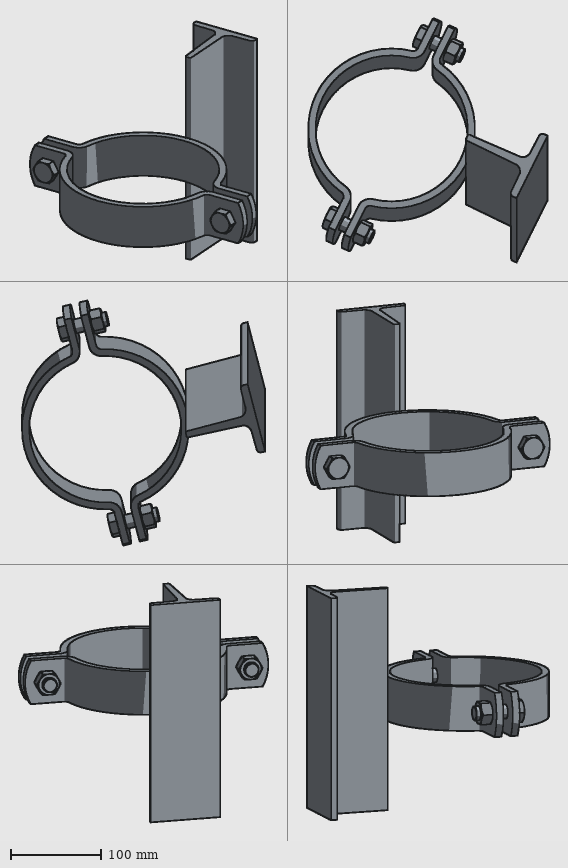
import cadquery as cq
import math

RAIL_LENGTH = 250.0
RAIL_HEIGHT = 80.0
RAIL_WIDTH = 80.0
RAIL_THICKNESS = 9.0
RAIL_TAPER = 0.02
RAIL_ROOT_RADIUS = 9.0
RAIL_TOE_RADIUS = 4.5
RAIL_TIP_RADIUS = 2.0
WELD_OVERLAP = 0.15

OVERALL_WIDTH = 280.0
RING_RADIUS = 92.5
BAND_THICKNESS = 8.0
BAND_WIDTH = 50.0
FLANGE_GAP = 11.0
BEND_INSIDE_RADIUS = 6.0
FLANGE_END_RADIUS = 50.0

BOLT_SPACING = 232.0
BOLT_DIAMETER = 16.0
BOLT_TIP_DIAMETER = 14.8
BOLT_PROTRUSION = 5.0
HEX_ACROSS_FLATS = 24.0
HEAD_HEIGHT = 10.0
NUT_HEIGHT = 13.0
HEX_BEVEL_ANGLE = 30.0

ring_inner_radius = RING_RADIUS - BAND_THICKNESS
half_gap = FLANGE_GAP / 2
flange_outer_y = half_gap + BAND_THICKNESS
half_width = OVERALL_WIDTH / 2
bend_outside_radius = BEND_INSIDE_RADIUS + BAND_THICKNESS


def polar(center, radius, angle):
    """Point at the given angle (radians) on a circle."""
    return (center[0] + radius * math.cos(angle), center[1] + radius * math.sin(angle))


def mirrored(point):
    return (-point[0], point[1])


def rail():
    """T-section with tapered flange and web; the web tip is sunk into the ring."""
    tip_y = RING_RADIUS - WELD_OVERLAP
    back_y = tip_y + RAIL_HEIGHT + WELD_OVERLAP
    half_flange = RAIL_WIDTH / 2

    toe_y = back_y - RAIL_THICKNESS + RAIL_TAPER * half_flange / 2
    web_taper = RAIL_TAPER * RAIL_HEIGHT / 2
    tip_x = RAIL_THICKNESS / 2 - web_taper
    root_x = RAIL_THICKNESS / 2 + web_taper
    root_y = toe_y - RAIL_TAPER * (half_flange - root_x)

    right_side = [(half_flange, back_y), (half_flange, toe_y), (root_x, root_y), (tip_x, tip_y)]
    left_side = [mirrored(point) for point in reversed(right_side)]
    body = (
        cq.Workplane("XY")
        .polyline(right_side + left_side)
        .close()
        .extrude(RAIL_LENGTH / 2, both=True)
    )

    corner_radii = [
        ((half_flange, toe_y), RAIL_TOE_RADIUS),
        ((root_x, root_y), RAIL_ROOT_RADIUS),
        ((tip_x, tip_y), RAIL_TIP_RADIUS),
    ]
    for corner, radius in corner_radii:
        for x, y in (corner, mirrored(corner)):
            body = body.edges(cq.NearestToPointSelector((x, y, 0))).fillet(radius)
    return body


def clamp_half():
    """Half ring on the +Y side with a bent-out bolting flange at each end."""
    bend_y = flange_outer_y + BEND_INSIDE_RADIUS
    bend_x = math.sqrt((RING_RADIUS + BEND_INSIDE_RADIUS) ** 2 - bend_y**2)
    bend = (bend_x, bend_y)
    ring_end_angle = math.atan2(bend_y, bend_x)
    bend_mid_angle = (ring_end_angle + math.pi + 3 * math.pi / 2) / 2

    inner_end = polar((0, 0), ring_inner_radius, ring_end_angle)
    outer_end = polar((0, 0), RING_RADIUS, ring_end_angle)
    inner_mid = polar(bend, bend_outside_radius, bend_mid_angle)
    outer_mid = polar(bend, BEND_INSIDE_RADIUS, bend_mid_angle)

    band = (
        cq.Workplane("XY")
        .moveTo(half_width, half_gap)
        .lineTo(bend_x, half_gap)
        .threePointArc(inner_mid, inner_end)
        .threePointArc((0, ring_inner_radius), mirrored(inner_end))
        .threePointArc(mirrored(inner_mid), (-bend_x, half_gap))
        .lineTo(-half_width, half_gap)
        .lineTo(-half_width, flange_outer_y)
        .lineTo(-bend_x, flange_outer_y)
        .threePointArc(mirrored(outer_mid), mirrored(outer_end))
        .threePointArc((0, RING_RADIUS), outer_end)
        .threePointArc(outer_mid, (bend_x, flange_outer_y))
        .lineTo(half_width, flange_outer_y)
        .close()
        .extrude(BAND_WIDTH / 2, both=True)
    )
    return band.intersect(flange_end_outline())


def flange_end_outline():
    """Strip with convex ends that trims the flanges to their rounded outline."""
    half_height = BAND_WIDTH / 2
    end_rise = FLANGE_END_RADIUS - math.sqrt(FLANGE_END_RADIUS**2 - half_height**2)
    corner_x = half_width - end_rise
    return (
        cq.Workplane("XZ")
        .moveTo(-corner_x, -half_height)
        .lineTo(corner_x, -half_height)
        .threePointArc((half_width, 0), (corner_x, half_height))
        .lineTo(-corner_x, half_height)
        .threePointArc((-half_width, 0), (-corner_x, -half_height))
        .close()
        .extrude(RING_RADIUS, both=True)
    )


def hexagon(start_y, height, bevel_start, bevel_end):
    """Hexagonal prism along +Y whose corners are bevelled at the chosen ends."""
    flat_radius = HEX_ACROSS_FLATS / 2
    corner_radius = flat_radius / math.cos(math.pi / 6)
    bevel = (corner_radius - flat_radius) * math.tan(math.radians(HEX_BEVEL_ANGLE))
    end_y = start_y + height

    prism = (
        cq.Workplane("XZ", origin=(0, start_y, 0))
        .polygon(6, 2 * corner_radius)
        .extrude(-height)
    )
    envelope = [(0, start_y)]
    if bevel_start:
        envelope += [(flat_radius, start_y), (corner_radius, start_y + bevel)]
    else:
        envelope += [(corner_radius, start_y)]
    if bevel_end:
        envelope += [(corner_radius, end_y - bevel), (flat_radius, end_y)]
    else:
        envelope += [(corner_radius, end_y)]
    envelope += [(0, end_y)]
    turned = cq.Workplane("XY").polyline(envelope).close().revolve(360, (0, 0), (0, 1))
    return prism.intersect(turned)


def bolt():
    """Hex bolt with its head on the -Y flange and its nut on the +Y flange."""
    head_y = -flange_outer_y - HEAD_HEIGHT
    shank_length = 2 * flange_outer_y + NUT_HEIGHT + BOLT_PROTRUSION
    shank = (
        cq.Workplane("XZ", origin=(0, -flange_outer_y, 0))
        .circle(BOLT_DIAMETER / 2)
        .extrude(-shank_length)
        .faces(">Y")
        .chamfer((BOLT_DIAMETER - BOLT_TIP_DIAMETER) / 2)
    )
    head = hexagon(head_y, HEAD_HEIGHT, bevel_start=True, bevel_end=False)
    nut = hexagon(flange_outer_y, NUT_HEIGHT, bevel_start=True, bevel_end=True)
    return shank.union(head).union(nut)


back_half = clamp_half()
front_half = back_half.mirror("XZ")
result = rail().union(back_half).union(front_half)
for side in (-1, 1):
    result = result.union(bolt().translate((side * BOLT_SPACING / 2, 0, 0)))